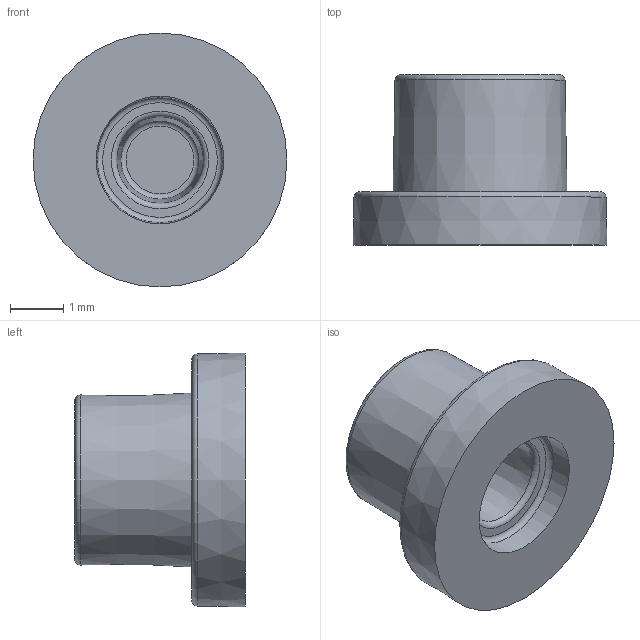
import cadquery as cq
import math

flange_radius = 2.385
flange_thickness = 1.0
total_length = 3.2
barrel_root_radius = 1.635
counterbore_radius = 1.2
counterbore_depth = 0.5
bore_mouth_radius = 0.82
bore_floor = 2.2
inner_draft = 3.0
outer_draft = 1.0
edge_radius = 0.1
match_tolerance = 0.001


def taper(length, draft):
    """Change of radius along a drafted wall of the given length."""
    return length * math.tan(math.radians(draft))


barrel_length = total_length - flange_thickness
flange_back_radius = flange_radius - taper(flange_thickness, outer_draft)
barrel_end_radius = barrel_root_radius - taper(barrel_length, outer_draft)
counterbore_floor_radius = counterbore_radius - taper(counterbore_depth, inner_draft)
bore_bottom_radius = bore_mouth_radius - taper(bore_floor - counterbore_depth, inner_draft)


def make_turned_body():
    """Flange, drafted barrel and stepped blind bore, with sharp edges."""
    profile = [
        (0, bore_floor),
        (bore_bottom_radius, bore_floor),
        (bore_mouth_radius, counterbore_depth),
        (counterbore_floor_radius, counterbore_depth),
        (counterbore_radius, 0),
        (flange_radius, 0),
        (flange_back_radius, flange_thickness),
        (barrel_root_radius, flange_thickness),
        (barrel_end_radius, total_length),
        (0, total_length),
    ]
    return cq.Workplane("XY").polyline(profile).close().revolve(360, (0, 0), (0, 1))


def circle_edge_at(body, radius, y):
    """The circular edge of the given radius centred at height y on the axis."""
    return body.edges("%CIRCLE").filter(
        lambda edge: abs(edge.radius() - radius) < match_tolerance
        and abs(edge.Center().y - y) < match_tolerance
    )


def round_edges(body):
    """Round the outer rims, the bore mouth and the inside corners of both bores."""
    rounded_circles = [
        (flange_back_radius, flange_thickness),
        (barrel_end_radius, total_length),
        (counterbore_floor_radius, counterbore_depth),
        (bore_mouth_radius, counterbore_depth),
        (bore_bottom_radius, bore_floor),
    ]
    for radius, y in rounded_circles:
        body = circle_edge_at(body, radius, y).fillet(edge_radius)
    return body


result = round_edges(make_turned_body())